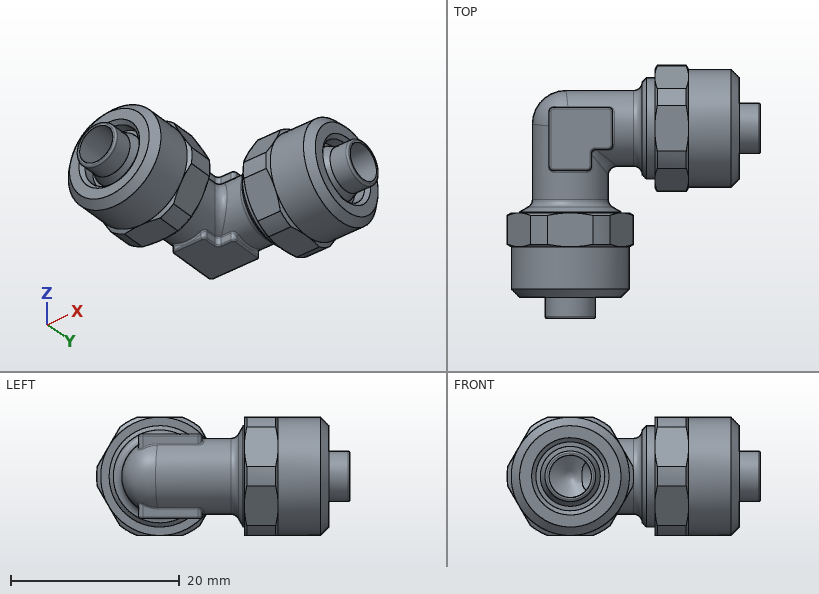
import cadquery as cq
import math

TUBE_RADIUS = 4.5
TUBE_END = 9.0
OUTER_BEND_RADIUS = 4.0
INNER_BEND_RADIUS = 1.0
BEND_HALF_HEIGHT = 3.9
BEND_STEPS = 8
BEND_TOP_ELEVATION = math.radians(80)
BEND_POST_RADIUS = 1.0

NECK_BLEND_RADIUS = 1.0
FLANGE_RADIUS = 6.0
X_FLANGE_START = 8.5
X_FLANGE_CHAMFER = FLANGE_RADIUS - TUBE_RADIUS - NECK_BLEND_RADIUS
Y_FLANGE_START = 9.87
Y_CONE_ANGLE = math.radians(60)

NUT_START = 10.0
NUT_WIDTH = 4.0
NUT_ACROSS_FLATS = 14.0
NUT_CORNER_DIAMETER = 15.0
NUT_CHAMFER_ANGLE = math.radians(30)
COLLAR_RADIUS = NUT_ACROSS_FLATS / 2
COLLAR_END = 20.0
COLLAR_CHAMFER = 1.0

GAP_RADIUS = 8.15 / 2
GAP_DEPTH = 2.0
GAP_CHAMFER = 0.5

STEM_RADIUS = 3.0
STEM_END = 22.5
STEM_EDGE_RADIUS = 0.25
BARB_RADIUS = 7.1 / 2
BARB_FOOT = 19.85
BARB_CREST = 18.4

BORE_RADIUS = 2.5
BORE_TIP = 3.31
BORE_TIP_HALF_ANGLE = math.radians(60)

PAD_HEIGHT = 5.0
PAD_HALF_WIDTH = 2.5
PAD_LENGTH = 5.0
PAD_CORNER_RADIUS = 0.5
PAD_EDGE_RADIUS = 0.2
PAD_FOOT_RADIUS = 0.2
PAD_FOOT_LEVEL = 3.1


def to_y_arm(shape):
    """Turn a shape built along +X onto the -Y arm."""
    return shape.rotate((0, 0, 0), (0, 0, 1), -90)


def tube_from(start):
    """Tube along +X from a start station to the neck, with its seam line on top."""
    tube = cq.Workplane("YZ", origin=(start, 0, 0)).circle(TUBE_RADIUS).extrude(TUBE_END - start)
    return tube.rotate((0, 0, 0), (1, 0, 0), 90)


def bend_tube():
    """Tube along +X whose end meets the mitre on its inner half and the rounding on its outer half."""
    tube = tube_from(-TUBE_RADIUS)
    tangent_station = -(TUBE_RADIUS - OUTER_BEND_RADIUS)
    arm_side = (
        cq.Workplane("XY", origin=(0, 0, -TUBE_RADIUS))
        .moveTo(0, 0)
        .lineTo(tangent_station, TUBE_RADIUS)
        .lineTo(TUBE_END, TUBE_RADIUS)
        .lineTo(TUBE_END, -TUBE_RADIUS)
        .lineTo(TUBE_RADIUS, -TUBE_RADIUS)
        .close()
        .extrude(2 * TUBE_RADIUS)
    )
    return tube.intersect(arm_side)


def inner_corner(tubes):
    """Tubes with the inner corner rounded, cut off flat at a level that the pads cover.

    The mitre corner fades out towards the top and bottom lines of the tubes, so the
    rounding stops at the flat.
    """
    side = 4 * NUT_START
    slab = cq.Workplane("XY").box(side, side, 2 * BEND_HALF_HEIGHT)
    corner = cq.selectors.NearestToPointSelector((TUBE_RADIUS, -TUBE_RADIUS, 0))
    return tubes.intersect(slab).edges(corner).fillet(INNER_BEND_RADIUS)


def outer_bend_section(turn):
    """Half-ellipse section of the outer rounding, in an upright plane through the Z axis.

    The turn goes around the rounding arc from the +X tube to the -Y tube. All sections
    share the height of the tubes, so the rounding runs out tangent to both of them.
    """
    center = TUBE_RADIUS - OUTER_BEND_RADIUS
    x = -center - OUTER_BEND_RADIUS * math.sin(turn)
    y = center + OUTER_BEND_RADIUS * math.cos(turn)
    top = math.degrees(BEND_TOP_ELEVATION)
    rim = cq.Edge.makeEllipse(
        math.hypot(x, y),
        TUBE_RADIUS,
        cq.Vector(0, 0, 0),
        cq.Vector(y, -x, 0),
        cq.Vector(x, y, 0),
        -top,
        top,
    )
    chord = cq.Edge.makeLine(rim.endPoint(), rim.startPoint())
    return cq.Wire.assembleEdges([rim, chord])


def outer_bend():
    """Rounded outer corner between the tube ends, with a post that fills its core under the pads."""
    quarter_turn = math.pi / 2
    sections = [outer_bend_section(quarter_turn * step / BEND_STEPS) for step in range(BEND_STEPS + 1)]
    post_half_height = TUBE_RADIUS * math.sin(BEND_TOP_ELEVATION)
    post = cq.Workplane("XY", origin=(0, 0, -post_half_height)).circle(BEND_POST_RADIUS)
    return post.extrude(2 * post_half_height).union(cq.Workplane(cq.Solid.makeLoft(sections)))


def pads():
    """L-shaped pads of both sides as one upright block through the elbow."""
    far, near = PAD_LENGTH, PAD_HALF_WIDTH
    outline = [(-near, near), (far, near), (far, -near), (near, -near), (near, -far), (-near, -far)]
    return (
        cq.Workplane("XY", origin=(0, 0, -PAD_HEIGHT))
        .polyline(outline)
        .close()
        .extrude(2 * PAD_HEIGHT)
        .edges("|Z")
        .fillet(PAD_CORNER_RADIUS)
    )


def blend_pads(body):
    """Round the pads where they stand on the tubes and along their outer rims."""
    side = 4 * NUT_START
    upright = cq.selectors.ParallelDirSelector(cq.Vector(0, 0, 1))
    for bottom, top in ((PAD_FOOT_LEVEL, TUBE_RADIUS), (-TUBE_RADIUS, -PAD_FOOT_LEVEL)):
        foot_zone = cq.selectors.BoxSelector((-side, -side, bottom), (side, side, top))
        body = body.edges(foot_zone - upright).fillet(PAD_FOOT_RADIUS)
    return body.faces(">Z or <Z").edges().fillet(PAD_EDGE_RADIUS)


def elbow():
    """Rounded elbow carrying the pads."""
    x_tube = bend_tube()
    tubes = x_tube.union(to_y_arm(x_tube.mirror("XZ")))
    body = tubes.union(inner_corner(tubes)).union(outer_bend()).union(pads())
    return blend_pads(body)


def blend_point(start, turn):
    """Point of the neck blend that leaves the tube at a station and has turned by an angle."""
    rise = NECK_BLEND_RADIUS * (1 - math.cos(turn))
    return (start + NECK_BLEND_RADIUS * math.sin(turn), TUBE_RADIUS + rise)


def x_neck():
    """Outline of the +X neck: quarter round, then a chamfered flange."""
    start = X_FLANGE_START - NECK_BLEND_RADIUS
    return (
        cq.Workplane("XY")
        .moveTo(start, 0)
        .lineTo(start, TUBE_RADIUS)
        .threePointArc(blend_point(start, math.pi / 4), blend_point(start, math.pi / 2))
        .lineTo(X_FLANGE_START + X_FLANGE_CHAMFER, FLANGE_RADIUS)
    )


def y_neck():
    """Outline of the -Y neck, laid along +X: blend and cone up to the flange."""
    corner = Y_FLANGE_START - (FLANGE_RADIUS - TUBE_RADIUS) / math.tan(Y_CONE_ANGLE)
    start = corner - NECK_BLEND_RADIUS * math.tan(Y_CONE_ANGLE / 2)
    return (
        cq.Workplane("XY")
        .moveTo(start, 0)
        .lineTo(start, TUBE_RADIUS)
        .threePointArc(blend_point(start, Y_CONE_ANGLE / 2), blend_point(start, Y_CONE_ANGLE))
        .lineTo(Y_FLANGE_START, FLANGE_RADIUS)
    )


def turned_arm(neck):
    """Body of revolution about X: a neck outline carried on by flange, collar, gap, barb and stem."""
    gap_floor = COLLAR_END - GAP_DEPTH
    stem_shoulder = STEM_END - STEM_EDGE_RADIUS
    stem_nose = STEM_RADIUS - STEM_EDGE_RADIUS
    round_middle = STEM_EDGE_RADIUS * math.sin(math.pi / 4)
    outline = (
        neck
        .lineTo(NUT_START, FLANGE_RADIUS)
        .lineTo(NUT_START, COLLAR_RADIUS)
        .lineTo(COLLAR_END - COLLAR_CHAMFER, COLLAR_RADIUS)
        .lineTo(COLLAR_END, COLLAR_RADIUS - COLLAR_CHAMFER)
        .lineTo(COLLAR_END, GAP_RADIUS + GAP_CHAMFER)
        .lineTo(COLLAR_END - GAP_CHAMFER, GAP_RADIUS)
        .lineTo(gap_floor, GAP_RADIUS)
        .lineTo(gap_floor, BARB_RADIUS)
        .lineTo(BARB_CREST, BARB_RADIUS)
        .lineTo(BARB_FOOT, STEM_RADIUS)
        .lineTo(stem_shoulder, STEM_RADIUS)
        .threePointArc((stem_shoulder + round_middle, stem_nose + round_middle), (STEM_END, stem_nose))
        .lineTo(STEM_END, 0)
        .close()
    )
    return outline.revolve(360, (0, 0, 0), (1, 0, 0))


def nut():
    """Hexagon ring with turned corners and chamfered ends, hollow inside the collar."""
    corner_radius = NUT_CORNER_DIAMETER / 2
    chamfer_length = (corner_radius - COLLAR_RADIUS) * math.tan(NUT_CHAMFER_ANGLE)
    end = NUT_START + NUT_WIDTH
    circumscribed = NUT_ACROSS_FLATS / math.cos(math.pi / 6)
    hexagon = cq.Workplane("YZ", origin=(NUT_START, 0, 0)).polygon(6, circumscribed).extrude(NUT_WIDTH)
    blank = (
        cq.Workplane("XY")
        .moveTo(NUT_START, FLANGE_RADIUS)
        .lineTo(NUT_START, COLLAR_RADIUS)
        .lineTo(NUT_START + chamfer_length, corner_radius)
        .lineTo(end - chamfer_length, corner_radius)
        .lineTo(end, COLLAR_RADIUS)
        .lineTo(end, FLANGE_RADIUS)
        .close()
        .revolve(360, (0, 0, 0), (1, 0, 0))
    )
    return hexagon.intersect(blank)


def bores():
    """Bore of the -Y arm with its drill tip past the corner, met by the bore of the +X arm."""
    tip_length = BORE_RADIUS / math.tan(BORE_TIP_HALF_ANGLE)
    y_bore = (
        cq.Workplane("XY")
        .moveTo(0, -STEM_END)
        .lineTo(BORE_RADIUS, -STEM_END)
        .lineTo(BORE_RADIUS, BORE_TIP - tip_length)
        .lineTo(0, BORE_TIP)
        .close()
        .revolve(360, (0, 0, 0), (0, 1, 0))
    )
    x_bore = cq.Workplane("YZ").circle(BORE_RADIUS).extrude(STEM_END)
    return y_bore.union(x_bore)


x_arm = turned_arm(x_neck()).union(nut())
y_arm = to_y_arm(turned_arm(y_neck()).union(nut()))
result = elbow().union(x_arm).union(y_arm).cut(bores())